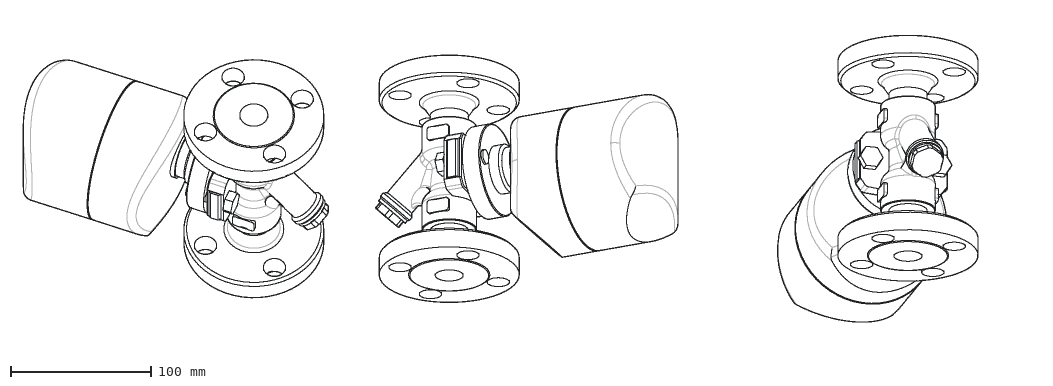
import cadquery as cq
import math


flange_diameter = 100.0
flange_back = 59.0
flange_face = 74.5
flange_chamfer = 2.0
raised_face_height = 0.57
raised_face_diameter = 56.3
raised_face_taper = 0.8
bolt_circle = 75.0
bolt_hole_diameter = 16.0
bolt_hole_count = 4
first_hole_angle = 45.0
bore_diameter = 20.0
pipe_diameter = 27.2
hub_start = 49.0
hub_end = 57.0
hub_diameter = 37.7
hub_foot_diameter = 42.7

boss_diameter = 39.0
boss_end = 40.2
boss_edge = 0.57
waist_diameter = 27.2
waist_top = 4.5
waist_bottom = -8.5
shoulder_height = 12.3
blend_share = 0.57
pad_width = 16.5
pad_height = 10.0
pad_z = 28.4
pad_face = 20.2
pad_corner = 2.0

branch_angle = 45.0
branch_meeting_z = 26.8
branch_diameter = 23.0
branch_end = 35.9
branch_start = -4.5
branch_fillet = 5.2
collar_diameter = 27.0
collar_start = 38.0
collar_end = 40.9
rim_diameter = 25.0
rim_start = 42.0
rim_end = 44.3
cap_end = 49.7
cap_flats = 21.3
cap_corner_flats = 22.7
cap_corner_turn = 90.0

block_left = -23.5
block_right = -10.2
block_half_width = 32.2
block_half_height = 22.3
block_top_half_height = 21.0
block_top_half_width = 28.0
block_side_half_height = 15.0
block_rounding = 3.6
block_edge = 1.0
lug_face_width = 6.0
lug_base_width = 9.0
lug_height = 29.0
lug_x = -16.8
lug_rise = 1.4

housing_diameter = 104.0
housing_z = -19.0
housing_left = -170.5
housing_right = -56.0
left_dome_radius = 85.1
right_dome_radius = 88.5
dome_fillet = 7.0
bottom_chamfer = 27.2
groove_x = -107.2
groove_width = 0.7
groove_depth = 0.5
neck_collar_diameter = 33.0
neck_collar_end = -54.3
neck_diameter = 30.0
neck_end = -47.7
spigot_diameter = 35.0
spigot_start = -46.0
disc_diameter = 67.0
disc_left = -38.5
disc_right = -25.2
disc_edge = 0.7

bolt_diameter = 10.5
bolt_y = 25.7
bolt_left = -40.0
head_flats = 14.5
head_end = -4.0
head_turn = 90.0


def rod_x(diameter, start, end, y=0.0):
    """Cylinder along X."""
    return cq.Workplane("YZ", origin=(start, y, 0)).circle(diameter / 2).extrude(end - start)


def flanged_end():
    """Upper weld-neck flange, solid, with its bolt holes."""
    outer = flange_diameter / 2
    raised = raised_face_diameter / 2
    blank = (
        cq.Workplane("XZ")
        .moveTo(0, boss_end - boss_edge)
        .lineTo(pipe_diameter / 2, boss_end - boss_edge)
        .lineTo(pipe_diameter / 2, hub_start)
        .lineTo(hub_diameter / 2, hub_end)
        .lineTo(hub_foot_diameter / 2, flange_back)
        .lineTo(outer - flange_chamfer, flange_back)
        .lineTo(outer, flange_back + flange_chamfer)
        .lineTo(outer, flange_face)
        .lineTo(raised + raised_face_taper, flange_face)
        .lineTo(raised, flange_face + raised_face_height)
        .lineTo(0, flange_face + raised_face_height)
        .close()
        .revolve(360, (0, 0), (0, 1))
    )
    holes = (
        cq.Workplane("XY", origin=(0, 0, flange_back))
        .polarArray(bolt_circle / 2, first_hole_angle, 360, bolt_hole_count)
        .circle(bolt_hole_diameter / 2)
        .extrude(flange_face - flange_back)
    )
    return blank.cut(holes)


def connector_core():
    """Two bosses joined by a narrower waist through S-shaped shoulders."""
    boss = boss_diameter / 2
    waist = waist_diameter / 2
    drop = boss - waist
    half_angle = math.atan2(drop, shoulder_height)
    blend_sum = shoulder_height / math.sin(2 * half_angle)
    convex = blend_sum * blend_share
    concave = blend_sum - convex
    upper_boss = waist_top + shoulder_height
    lower_boss = waist_bottom - shoulder_height

    def convex_point(angle, base, direction):
        return (boss - convex * (1 - math.cos(angle)), base + direction * convex * math.sin(angle))

    def concave_point(angle, base, direction):
        return (waist + concave * (1 - math.cos(angle)), base - direction * concave * math.sin(angle))

    return (
        cq.Workplane("XZ")
        .moveTo(0, -boss_end)
        .lineTo(boss - boss_edge, -boss_end)
        .lineTo(boss, boss_edge - boss_end)
        .lineTo(boss, lower_boss)
        .threePointArc(convex_point(half_angle, lower_boss, 1), convex_point(2 * half_angle, lower_boss, 1))
        .threePointArc(concave_point(half_angle, waist_bottom, 1), (waist, waist_bottom))
        .lineTo(waist, waist_top)
        .threePointArc(
            concave_point(half_angle, waist_top, -1), concave_point(2 * half_angle, waist_top, -1)
        )
        .threePointArc(convex_point(half_angle, upper_boss, -1), (boss, upper_boss))
        .lineTo(boss, boss_end - boss_edge)
        .lineTo(boss - boss_edge, boss_end)
        .lineTo(0, boss_end)
        .close()
        .revolve(360, (0, 0), (0, 1))
    )


def boss_pads():
    """Raised rectangular pads on the front and back of both bosses."""
    pad = (
        cq.Workplane("XZ", origin=(0, pad_face, 0))
        .rect(pad_width, pad_height)
        .extrude(2 * pad_face)
        .edges("|Y")
        .fillet(pad_corner)
    )
    return pad.translate((0, 0, pad_z)).union(pad.translate((0, 0, -pad_z)))


def branch_plane():
    """Plane across the branch axis, at the foot of the perpendicular from the origin."""
    foot = branch_meeting_z / 2
    slope = math.radians(branch_angle)
    return cq.Plane(
        origin=(foot, 0, foot), xDir=(0, 1, 0), normal=(math.cos(slope), 0, -math.sin(slope))
    )


def branch_tube():
    """Round tube of the branch, starting inside the connector."""
    plane = branch_plane()
    return (
        cq.Workplane(plane)
        .workplane(offset=branch_start)
        .circle(branch_diameter / 2)
        .extrude(branch_end - branch_start)
    )


def hexagon(flats, turn):
    """Hexagonal prism over the height of the cap head."""
    prism = (
        cq.Workplane("XY", origin=(0, 0, rim_end))
        .polygon(6, flats, circumscribed=True)
        .extrude(cap_end - rim_end)
    )
    return prism.rotate((0, 0, 0), (0, 0, 1), turn)


def branch_cap():
    """Collar and rim with conical edges, and a hexagonal head with trimmed corners."""
    plane = branch_plane()
    cap = (
        cq.Workplane("XZ")
        .moveTo(0, branch_end)
        .lineTo(branch_diameter / 2, branch_end)
        .lineTo(collar_diameter / 2, collar_start)
        .lineTo(collar_diameter / 2, collar_end)
        .lineTo(rim_diameter / 2, rim_start)
        .lineTo(rim_diameter / 2, rim_end)
        .lineTo(0, rim_end)
        .close()
        .revolve(360, (0, 0), (0, 1))
    )
    head = hexagon(cap_flats, 0).intersect(hexagon(cap_corner_flats, cap_corner_turn))
    cap = cap.union(head)
    return cq.Workplane(cap.val().moved(plane.location))


def mounting_block():
    """Block with crowned ends, sloped corners and a raised lug on each side, bored for the two bolts."""
    top_y = block_top_half_width
    top_z = block_top_half_height
    side_z = block_side_half_height
    block = (
        cq.Workplane("YZ", origin=(block_left, 0, 0))
        .moveTo(top_y, top_z)
        .lineTo(block_half_width, side_z)
        .lineTo(block_half_width, -side_z)
        .lineTo(top_y, -top_z)
        .threePointArc((0, -block_half_height), (-top_y, -top_z))
        .lineTo(-block_half_width, -side_z)
        .lineTo(-block_half_width, side_z)
        .lineTo(-top_y, top_z)
        .threePointArc((0, block_half_height), (top_y, top_z))
        .close()
        .extrude(block_right - block_left)
    )
    block = block.faces("<Z or >Z").edges("|X").fillet(block_rounding)
    block = block.faces("<X").chamfer(block_edge)
    lug = (
        cq.Workplane("XY", origin=(lug_x, 0, -lug_height / 2))
        .moveTo(-lug_base_width / 2, -block_half_width)
        .lineTo(-lug_face_width / 2, -block_half_width - lug_rise)
        .lineTo(lug_face_width / 2, -block_half_width - lug_rise)
        .lineTo(lug_base_width / 2, -block_half_width)
        .close()
        .extrude(lug_height)
    )
    block = block.union(lug).union(lug.mirror("XZ"))
    for y in (-bolt_y, bolt_y):
        block = block.cut(rod_x(bolt_diameter, block_left, block_right, y))
    return block


def make_valve():
    """Connector with its flanges, strainer branch, cap and mounting block; the bores are blind."""
    core = connector_core().union(branch_tube())
    core = core.edges("%BSPLINE").fillet(branch_fillet)
    core = core.union(boss_pads())
    valve = core.union(branch_cap()).union(mounting_block())
    end = flanged_end()
    valve = valve.union(end).union(end.mirror("XY"))
    bore_depth = flange_face + raised_face_height - boss_end
    bore = cq.Workplane("XY", origin=(0, 0, boss_end)).circle(bore_diameter / 2).extrude(bore_depth)
    return valve.cut(bore).cut(bore.mirror("XY"))


def arc_sag(radius, half_chord):
    """Depth of an arc over its chord."""
    return radius - math.sqrt(radius**2 - half_chord**2)


def make_housing():
    """Eccentric drum whose ends bulge about vertical axes and slope at the bottom."""
    radius = housing_diameter / 2
    left_rim = housing_left + arc_sag(left_dome_radius, radius)
    right_rim = housing_right - arc_sag(right_dome_radius, radius)
    bottom = housing_z - radius
    drum = rod_x(housing_diameter, housing_left, housing_right).translate((0, 0, housing_z))
    domes = (
        cq.Workplane("XY", origin=(0, 0, bottom))
        .moveTo(left_rim, -radius)
        .lineTo(right_rim, -radius)
        .threePointArc((housing_right, 0), (right_rim, radius))
        .lineTo(left_rim, radius)
        .threePointArc((housing_left, 0), (left_rim, -radius))
        .close()
        .extrude(housing_diameter)
    )
    slopes = (
        cq.Workplane("XZ", origin=(0, radius, 0))
        .moveTo(housing_left, housing_z + radius)
        .lineTo(housing_left, bottom + bottom_chamfer)
        .lineTo(housing_left + bottom_chamfer, bottom)
        .lineTo(housing_right - bottom_chamfer, bottom)
        .lineTo(housing_right, bottom + bottom_chamfer)
        .lineTo(housing_right, housing_z + radius)
        .close()
        .extrude(housing_diameter)
    )
    housing = drum.intersect(domes).intersect(slopes)
    housing = housing.faces("<X or >X").edges().fillet(dome_fillet)
    groove = rod_x(housing_diameter, groove_x, groove_x + groove_width)
    groove = groove.cut(rod_x(housing_diameter - 2 * groove_depth, groove_x, groove_x + groove_width))
    return housing.cut(groove.translate((0, 0, housing_z)))


def make_trap():
    """Housing with its stepped neck and the mounting flange."""
    trap = make_housing()
    neck_start = housing_right - neck_collar_diameter / 2
    neck = (
        cq.Workplane("XY")
        .moveTo(neck_start, 0)
        .lineTo(neck_start, neck_collar_diameter / 2)
        .lineTo(neck_collar_end, neck_collar_diameter / 2)
        .lineTo(neck_collar_end, neck_diameter / 2)
        .lineTo(neck_end, neck_diameter / 2)
        .lineTo(spigot_start, spigot_diameter / 2)
        .lineTo(block_left, spigot_diameter / 2)
        .lineTo(block_left, 0)
        .close()
        .revolve(360, (0, 0), (1, 0))
    )
    disc = rod_x(disc_diameter, disc_left, disc_right).faces("<X").chamfer(disc_edge)
    trap = trap.union(neck).union(disc)
    for y in (-bolt_y, bolt_y):
        trap = trap.cut(rod_x(bolt_diameter, disc_left, disc_right, y))
    return trap


def make_bolt(y):
    """Hexagon bolt through the mounting block and the trap flange."""
    shank = rod_x(bolt_diameter, bolt_left, block_right, y)
    head = (
        cq.Workplane("YZ", origin=(block_right, y, 0))
        .polygon(6, head_flats, circumscribed=True)
        .extrude(head_end - block_right)
    )
    head = head.rotate((0, y, 0), (1, y, 0), head_turn)
    return shank.union(head)


valve = make_valve()
trap = make_trap()
bolts = [make_bolt(y) for y in (-bolt_y, bolt_y)]

result = cq.Compound.makeCompound([valve.val(), trap.val(), *[bolt.val() for bolt in bolts]])